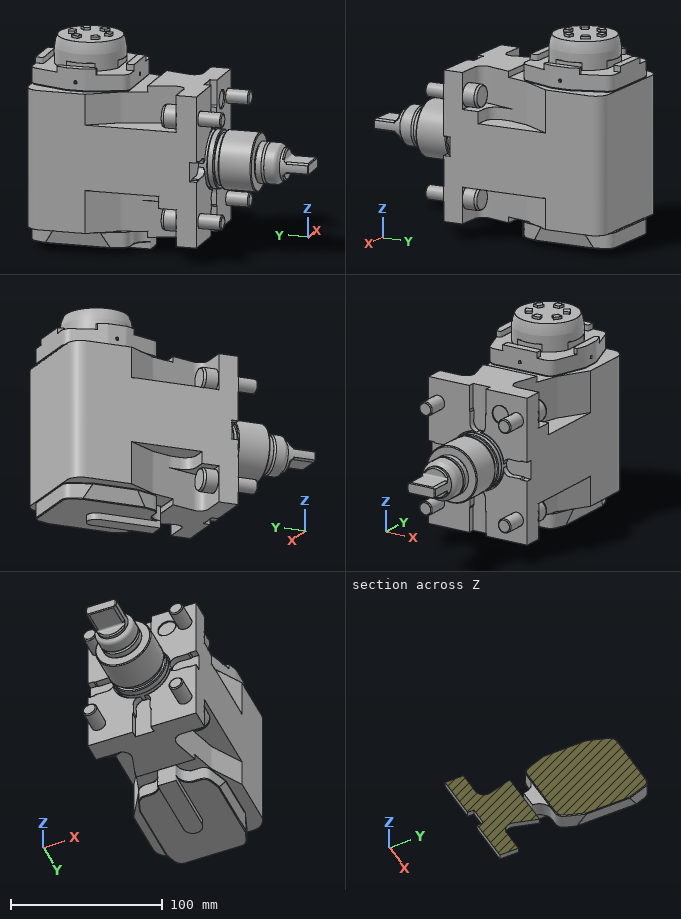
import cadquery as cq
import math


BODY_WIDTH = 78.0
BODY_DEPTH = 119.3
PLATE_HEIGHT = 103.3
PLATE_THICKNESS = 14.0
FRONT_STEP_DEPTH = 39.3
REAR_HEIGHT = 95.0
REAR_CORNER_RADIUS = 10.0

POCKET_FLOOR_Z = 26.5
POCKET_END_Y = 77.0
POCKET_BEND_X = 26.1
POCKET_BEND_Y = 55.8
POCKET_FOOT_X = 13.9
POCKET_BEND_RADIUS = 7.5
POCKET_FOOT_RADIUS = 6.2
DEEP_FLOOR_Z = 18.2
DEEP_POCKET_FRONT_Y = 26.1
DEEP_POCKET_WALL_X = 21.8
DEEP_POCKET_RADIUS = 8.0
DEEP_WALL_RADIUS = 9.4

SLOT_WIDTH = 13.1
SLOT_NECK_WIDTH = 12.0
SLOT_DEPTH = 4.7
SLOT_END_CENTER = 25.7
SLOT_END_RADIUS = 6.2
SLOT_NECK_START = 33.2
SLOT_TAPER_START = 34.5
BORE_DIAMETER = 39.5
BORE_DEPTH = 5.6
BORE_CHAMFER = 1.1
RECESS_DIAMETER = 12.8
RECESS_DEPTH = 1.0
RECESS_X = 17.8
RECESS_Z = 35.9

SCREW_X = 31.0
SCREW_Z = 35.0
SCREW_DIAMETER = 10.0
SCREW_REACH = 15.8
SCREW_CHAMFER = 0.8
HEAD_DIAMETER = 16.0
HEAD_HEIGHT = 10.5
HEAD_CHAMFER_LENGTH = 1.7
HEAD_CHAMFER_INSET = 0.8

SPINDLE_TIP = 68.5
EDGE_BREAK = 0.65
BOSS_RADIUS = 20.0
BOSS_NECK_RADIUS = 19.2
BOSS_GROOVE_RADIUS = 35.1 / 2
RELIEF_RADIUS = 12.5
COLLAR_RADIUS = 28.0 / 2
COLLAR_GROOVE_RADIUS = 13.1
SHOULDER_BULGE_RADIUS = 13.3
SHOULDER_RADIUS = 12.4

BOSS_START = 1.0
BOSS_GROOVE_START = 5.8
BOSS_GROOVE_END = 8.8
BOSS_END = 31.7
COLLAR_START = 32.7
COLLAR_GROOVE_START = 36.8
COLLAR_GROOVE_END = 38.7
COLLAR_END = 45.3
SHOULDER_BULGE = 46.8
SHOULDER_END = 47.5
TANG_ROUND_START = 48.6

TANG_RADIUS = 22.0 / 2
TANG_THICKNESS = 7.9
TANG_FLAT_WIDTH = 17.5
TANG_SIDE_WIDTH = 21.0
TANG_SIDE_THICKNESS = 5.6
TANG_START = 53.0
TANG_ROOT_RADIUS = 1.7
TANG_RIM_CHAMFER = 1.0

FLANGE_WIDTH = 68.2
FLANGE_HALF = FLANGE_WIDTH / 2
FLANGE_CENTER_Y = BODY_DEPTH - FLANGE_HALF
FLANGE_SIDE_HALF = 6.5
FLANGE_FRONT_HALF = 24.6
FLANGE_SIDE_RADIUS = 5.6
FLANGE_CORNER_RADIUS = 6.4
FLANGE_HEIGHT = 11.6
FLANGE_CHAMFER = 1.0
TAB_WIDTH = 26.9
TAB_DEPTH = 5.6
TAB_HEIGHT = 4.1
TAB_CORNER_RADIUS = 1.5
PIN_HOLE_DIAMETER = 2.0
PIN_HOLE_DEPTH = 1.9
PIN_HOLE_Z = 53.7

CAP_RADIUS = 24.0
CAP_TOP_RADIUS = 22.0
CAP_BULGE_RADIUS = 23.5
CAP_STRAIGHT_TOP = 70.2
CAP_TOP = 78.3
CAP_FLAT_DISTANCE = 22.0
CAP_FLAT_TOP = 64.5
LUG_COUNT = 6
LUG_TOP = 80.0
LUG_INNER = 10.3
LUG_OUTER = 15.0
LUG_CORNER = 14.5
LUG_OUTER_HALF = 3.2
LUG_INNER_HALF = 2.3
LUG_WAIST = 13.0
LUG_WAIST_HALF = 2.6

TAPER_TOP_HALF = 31.0
TAPER_BOTTOM_HALF = 28.5
KEY_WIDTH = 13.1
KEY_FRONT_Y = 41.5
KEY_BOTTOM = -63.7
KEY_EDGE_RADIUS = 0.4
LOWER_EDGE_CHAMFER = 0.5

HALF_WIDTH = BODY_WIDTH / 2
PLATE_TOP = PLATE_HEIGHT / 2
REAR_TOP = REAR_HEIGHT / 2
FLANGE_FACE = REAR_TOP + FLANGE_HEIGHT

OVERLAP = 1.9


def block(x_range, y_range, z_range):
    """Axis-aligned box between the given limits."""
    size = [high - low for low, high in (x_range, y_range, z_range)]
    corner = (x_range[0], y_range[0], z_range[0])
    return cq.Workplane("XY").box(*size, centered=False).translate(corner)


def outline_prism(points, bottom, top):
    return cq.Workplane("XY").workplane(offset=bottom).polyline(points).close().extrude(top - bottom)


def fillet_vertical(solid, radius, x, y):
    """Round the vertical edge that passes through (x, y)."""
    middle = solid.val().BoundingBox().center.z
    return solid.edges(cq.selectors.NearestToPointSelector((x, y, middle))).fillet(radius)


def housing():
    front = block((-HALF_WIDTH, HALF_WIDTH), (0, FRONT_STEP_DEPTH), (-PLATE_TOP, PLATE_TOP))
    rear = block((-HALF_WIDTH, HALF_WIDTH), (0, BODY_DEPTH), (-REAR_TOP, REAR_TOP))
    rear = rear.edges("|Z and >Y").fillet(REAR_CORNER_RADIUS)
    return front.union(rear)


def side_pocket():
    """Pocket of the upper +X side, open to the side and to the top."""
    points = [
        (HALF_WIDTH, POCKET_END_Y),
        (POCKET_BEND_X, POCKET_BEND_Y),
        (POCKET_FOOT_X, PLATE_THICKNESS),
        (HALF_WIDTH, PLATE_THICKNESS),
    ]
    pocket = outline_prism(points, POCKET_FLOOR_Z, PLATE_TOP)
    pocket = fillet_vertical(pocket, POCKET_BEND_RADIUS, POCKET_BEND_X, POCKET_BEND_Y)
    return fillet_vertical(pocket, POCKET_FOOT_RADIUS, POCKET_FOOT_X, PLATE_THICKNESS)


def deep_pocket():
    """Deeper rear part of the pocket, with its own rounded front corner."""
    slope = (POCKET_BEND_Y - PLATE_THICKNESS) / (POCKET_BEND_X - POCKET_FOOT_X)
    wall_y = PLATE_THICKNESS + slope * (DEEP_POCKET_WALL_X - POCKET_FOOT_X)
    points = [
        (HALF_WIDTH, POCKET_END_Y),
        (POCKET_BEND_X, POCKET_BEND_Y),
        (DEEP_POCKET_WALL_X, wall_y),
        (DEEP_POCKET_WALL_X, DEEP_POCKET_FRONT_Y),
        (HALF_WIDTH, DEEP_POCKET_FRONT_Y),
    ]
    pocket = outline_prism(points, DEEP_FLOOR_Z, POCKET_FLOOR_Z)
    pocket = fillet_vertical(pocket, POCKET_BEND_RADIUS, POCKET_BEND_X, POCKET_BEND_Y)
    pocket = fillet_vertical(pocket, DEEP_WALL_RADIUS, DEEP_POCKET_WALL_X, wall_y)
    return fillet_vertical(pocket, DEEP_POCKET_RADIUS, DEEP_POCKET_WALL_X, DEEP_POCKET_FRONT_Y)


def cut_pockets(body):
    """Four side pockets; the upper +X and the lower -X ones have the deeper part."""
    plain = side_pocket()
    stepped = plain.union(deep_pocket())
    turned = stepped.rotate((0, 0, 0), (0, 1, 0), 180)
    for pocket in (stepped, turned, plain.mirror("YZ"), plain.mirror("XY")):
        body = body.cut(pocket)
    return body


def face_slot(length):
    """Slot running along +Z in the mounting face, narrowed before its round inner end."""
    half = SLOT_WIDTH / 2
    neck = SLOT_NECK_WIDTH / 2
    right_side = [(neck, SLOT_END_CENTER), (neck, SLOT_NECK_START), (half, SLOT_TAPER_START), (half, length)]
    left_side = [(-x, z) for x, z in reversed(right_side)]
    face = cq.Workplane("XZ", origin=(0, SLOT_DEPTH, 0))
    channel = face.polyline(right_side + left_side).close().extrude(SLOT_DEPTH)
    return channel.union(face.center(0, SLOT_END_CENTER).circle(SLOT_END_RADIUS).extrude(SLOT_DEPTH))


def cut_mounting_face(body):
    for quarter in range(4):
        length = PLATE_TOP if quarter % 2 == 0 else HALF_WIDTH
        body = body.cut(face_slot(length).rotate((0, 0, 0), (0, 1, 0), 90 * quarter))
    bore = cq.Workplane("XZ", origin=(0, BORE_DEPTH, 0)).circle(BORE_DIAMETER / 2).extrude(BORE_DEPTH)
    countersink = (
        cq.Workplane("XZ", origin=(0, BORE_CHAMFER, 0))
        .circle(BORE_DIAMETER / 2)
        .workplane(offset=BORE_CHAMFER)
        .circle(BORE_DIAMETER / 2 + BORE_CHAMFER)
        .loft()
    )
    body = body.cut(bore).cut(countersink)
    recess = cq.Workplane("XZ", origin=(RECESS_X, RECESS_DEPTH, RECESS_Z))
    return body.cut(recess.circle(RECESS_DIAMETER / 2).extrude(RECESS_DEPTH))


def screw(x, z):
    """Cap screw whose head rests on the back of the mounting plate."""
    head = cq.Workplane("XZ", origin=(x, PLATE_THICKNESS, z)).circle(HEAD_DIAMETER / 2).extrude(-HEAD_HEIGHT)
    head = head.faces(">Y").edges().chamfer(HEAD_CHAMFER_LENGTH, HEAD_CHAMFER_INSET)
    shank = cq.Workplane("XZ", origin=(x, PLATE_THICKNESS, z)).circle(SCREW_DIAMETER / 2)
    shank = shank.extrude(PLATE_THICKNESS + SCREW_REACH).faces("<Y").chamfer(SCREW_CHAMFER)
    return head.union(shank)


def spindle():
    """Stepped round spindle with a flat driving tang at its tip."""
    profile = [
        (0, BORE_DEPTH),
        (BOSS_NECK_RADIUS, BORE_DEPTH),
        (BOSS_NECK_RADIUS, -BOSS_START),
        (BOSS_RADIUS, -BOSS_START - EDGE_BREAK),
        (BOSS_RADIUS, -BOSS_GROOVE_START + EDGE_BREAK),
        (BOSS_RADIUS - EDGE_BREAK, -BOSS_GROOVE_START),
        (BOSS_GROOVE_RADIUS, -BOSS_GROOVE_START),
        (BOSS_GROOVE_RADIUS, -BOSS_GROOVE_END),
        (BOSS_RADIUS - EDGE_BREAK, -BOSS_GROOVE_END),
        (BOSS_RADIUS, -BOSS_GROOVE_END - EDGE_BREAK),
        (BOSS_RADIUS, -BOSS_END + EDGE_BREAK),
        (BOSS_RADIUS - EDGE_BREAK, -BOSS_END),
        (RELIEF_RADIUS, -BOSS_END),
        (RELIEF_RADIUS, -COLLAR_START),
        (COLLAR_RADIUS, -COLLAR_START),
        (COLLAR_RADIUS, -COLLAR_GROOVE_START),
    ]
    groove_middle = (COLLAR_GROOVE_START + COLLAR_GROOVE_END) / 2
    turned = (
        cq.Workplane("XY")
        .polyline(profile)
        .threePointArc((COLLAR_GROOVE_RADIUS, -groove_middle), (COLLAR_RADIUS, -COLLAR_GROOVE_END))
        .lineTo(COLLAR_RADIUS, -COLLAR_END)
        .threePointArc((SHOULDER_BULGE_RADIUS, -SHOULDER_BULGE), (SHOULDER_RADIUS, -SHOULDER_END))
        .lineTo(TANG_RADIUS, -TANG_ROUND_START)
        .lineTo(TANG_RADIUS, EDGE_BREAK - SPINDLE_TIP)
        .lineTo(TANG_RADIUS - EDGE_BREAK, -SPINDLE_TIP)
        .lineTo(0, -SPINDLE_TIP)
        .close()
        .revolve(360, (0, 0, 0), (0, 1, 0))
    )

    waste = tang_waste()
    return turned.cut(waste).cut(waste.mirror("XY"))


def tang_waste():
    """Material removed above the tang: flat with a rounded root, tip chamfer and bevelled sides."""
    half = TANG_THICKNESS / 2
    beyond = SPINDLE_TIP + OVERLAP
    root_face = TANG_START - TANG_ROOT_RADIUS
    arc_offset = TANG_ROOT_RADIUS * math.sqrt(0.5)
    flat = (
        cq.Workplane("YZ", origin=(-BOSS_RADIUS, 0, 0))
        .moveTo(-root_face, BOSS_RADIUS)
        .lineTo(-root_face, half + TANG_ROOT_RADIUS)
        .threePointArc(
            (-TANG_START + arc_offset, half + TANG_ROOT_RADIUS - arc_offset),
            (-TANG_START, half),
        )
        .lineTo(EDGE_BREAK - SPINDLE_TIP, half)
        .lineTo(-SPINDLE_TIP, half - EDGE_BREAK)
        .lineTo(-beyond, half - EDGE_BREAK)
        .lineTo(-beyond, BOSS_RADIUS)
        .close()
        .extrude(2 * BOSS_RADIUS)
    )
    bevel = (
        cq.Workplane("XZ", origin=(0, -TANG_START, 0))
        .moveTo(TANG_FLAT_WIDTH / 2, half)
        .lineTo(TANG_SIDE_WIDTH / 2, TANG_SIDE_THICKNESS / 2)
        .lineTo(BOSS_RADIUS, TANG_SIDE_THICKNESS / 2)
        .lineTo(BOSS_RADIUS, half)
        .close()
        .extrude(beyond - TANG_START)
    )
    rim = (
        cq.Workplane("XY")
        .moveTo(TANG_RADIUS - TANG_RIM_CHAMFER, -root_face)
        .lineTo(TANG_RADIUS, -root_face)
        .lineTo(TANG_RADIUS, TANG_RIM_CHAMFER - root_face)
        .close()
        .revolve(360, (0, 0, 0), (0, 1, 0))
    )
    rim_zone = block((-BOSS_RADIUS, BOSS_RADIUS), (-beyond, 0), (half + TANG_ROOT_RADIUS, BOSS_RADIUS))
    return flat.union(rim.intersect(rim_zone)).union(bevel).union(bevel.mirror("YZ"))


def flange_outline(bottom, top):
    """Eight-sided flange with rounded corners, centred on the cap axis."""
    quadrant = [(FLANGE_HALF, FLANGE_SIDE_HALF), (FLANGE_FRONT_HALF, FLANGE_HALF)]
    upper = quadrant + [(-x, y) for x, y in reversed(quadrant)]
    lower = [(x, -y) for x, y in reversed(upper)]
    prism = outline_prism(upper + lower, bottom, top)
    for x_sign in (-1, 1):
        for y_sign in (-1, 1):
            prism = fillet_vertical(
                prism, FLANGE_SIDE_RADIUS, x_sign * FLANGE_HALF, y_sign * FLANGE_SIDE_HALF
            )
            prism = fillet_vertical(
                prism, FLANGE_CORNER_RADIUS, x_sign * FLANGE_FRONT_HALF, y_sign * FLANGE_HALF
            )
    return prism


def flange_tabs():
    """Four raised tabs around the rim of the upper flange."""
    top = FLANGE_FACE + TAB_HEIGHT
    rim = flange_outline(FLANGE_FACE - OVERLAP, top)
    inner = FLANGE_HALF - TAB_DEPTH
    tab = block((-TAB_WIDTH / 2, TAB_WIDTH / 2), (inner, FLANGE_HALF), (FLANGE_FACE - OVERLAP, top))
    tab = tab.edges("|Z and <Y").fillet(TAB_CORNER_RADIUS)
    tabs = tab
    for quarter in range(1, 4):
        tabs = tabs.union(tab.rotate((0, 0, 0), (0, 0, 1), 90 * quarter))
    return rim.intersect(tabs)


def pin_holes():
    """Small blind holes in the front and the two side faces of the upper flange."""
    face = cq.Workplane("XZ", origin=(0, PIN_HOLE_DEPTH - FLANGE_HALF, PIN_HOLE_Z))
    front = face.circle(PIN_HOLE_DIAMETER / 2).extrude(PIN_HOLE_DEPTH)
    holes = front
    for angle in (-90, 90):
        holes = holes.union(front.rotate((0, 0, 0), (0, 0, 1), angle))
    return holes


def cap():
    """Round cap with a bulged upper edge and four flats at its foot."""
    foot = FLANGE_FACE - OVERLAP
    solid = (
        cq.Workplane("XZ")
        .moveTo(0, foot)
        .lineTo(CAP_RADIUS, foot)
        .lineTo(CAP_RADIUS, CAP_STRAIGHT_TOP)
        .threePointArc((CAP_BULGE_RADIUS, (CAP_STRAIGHT_TOP + CAP_TOP) / 2), (CAP_TOP_RADIUS, CAP_TOP))
        .lineTo(0, CAP_TOP)
        .close()
        .revolve(360, (0, 0, 0), (0, 1, 0))
    )
    flat = block((CAP_FLAT_DISTANCE, CAP_RADIUS), (-CAP_RADIUS, CAP_RADIUS), (FLANGE_FACE, CAP_FLAT_TOP))
    for quarter in range(4):
        solid = solid.cut(flat.rotate((0, 0, 0), (0, 0, 1), 90 * quarter))
    return solid


def cap_lugs():
    """Ring of small lugs with hollow flanks on top of the cap."""
    lug = (
        cq.Workplane("XY", origin=(0, 0, CAP_TOP - OVERLAP))
        .moveTo(-LUG_INNER_HALF, LUG_INNER)
        .lineTo(LUG_INNER_HALF, LUG_INNER)
        .threePointArc((LUG_WAIST_HALF, LUG_WAIST), (LUG_OUTER_HALF, LUG_CORNER))
        .threePointArc((0, LUG_OUTER), (-LUG_OUTER_HALF, LUG_CORNER))
        .threePointArc((-LUG_WAIST_HALF, LUG_WAIST), (-LUG_INNER_HALF, LUG_INNER))
        .close()
        .extrude(LUG_TOP - CAP_TOP + OVERLAP)
    )
    lugs = lug
    for index in range(1, LUG_COUNT):
        lugs = lugs.union(lug.rotate((0, 0, 0), (0, 0, 1), index * 360 / LUG_COUNT))
    return lugs


def upper_flange():
    flange = flange_outline(REAR_TOP, FLANGE_FACE).faces("<Z").chamfer(FLANGE_CHAMFER)
    flange = flange.union(flange_tabs()).cut(pin_holes())
    return flange.union(cap()).union(cap_lugs()).translate((0, FLANGE_CENTER_Y, 0))


def lower_flange():
    """Flange with tapered sides, blended into a radial locking key."""
    half_key = KEY_WIDTH / 2
    tip = KEY_FRONT_Y - FLANGE_CENTER_Y
    blend = -FLANGE_HALF - tip - KEY_EDGE_RADIUS
    blend_end = tip + KEY_EDGE_RADIUS

    taper = [
        (-TAPER_TOP_HALF, -REAR_TOP),
        (TAPER_TOP_HALF, -REAR_TOP),
        (TAPER_BOTTOM_HALF, -FLANGE_FACE),
        (-TAPER_BOTTOM_HALF, -FLANGE_FACE),
    ]
    sides = cq.Workplane("XZ").polyline(taper).close().extrude(FLANGE_HALF, both=True)
    flange = flange_outline(-FLANGE_FACE, -REAR_TOP).intersect(sides).faces(">Z").chamfer(FLANGE_CHAMFER)

    arc_offset = blend * (1 - math.sqrt(0.5))
    neck = (
        cq.Workplane("XY", origin=(0, 0, -FLANGE_FACE))
        .moveTo(-half_key - blend, -FLANGE_HALF)
        .threePointArc((-half_key - arc_offset, -FLANGE_HALF - arc_offset), (-half_key, blend_end))
        .lineTo(half_key, blend_end)
        .threePointArc((half_key + arc_offset, -FLANGE_HALF - arc_offset), (half_key + blend, -FLANGE_HALF))
        .close()
        .extrude(FLANGE_HEIGHT - FLANGE_CHAMFER)
    )
    key = (
        cq.Workplane("XY", origin=(0, 0, KEY_BOTTOM))
        .moveTo(half_key, 0)
        .threePointArc((0, half_key), (-half_key, 0))
        .lineTo(-half_key, tip)
        .lineTo(half_key, tip)
        .close()
        .extrude(-KEY_BOTTOM - REAR_TOP - FLANGE_CHAMFER)
        .edges("|Z and <Y")
        .fillet(KEY_EDGE_RADIUS)
    )
    flange = flange.union(neck).faces("<Z").chamfer(LOWER_EDGE_CHAMFER).union(key)
    return flange.translate((0, FLANGE_CENTER_Y, 0))


part = cut_mounting_face(cut_pockets(housing()))
for x in (-SCREW_X, SCREW_X):
    for z in (-SCREW_Z, SCREW_Z):
        part = part.union(screw(x, z))
result = part.union(spindle()).union(upper_flange()).union(lower_flange())